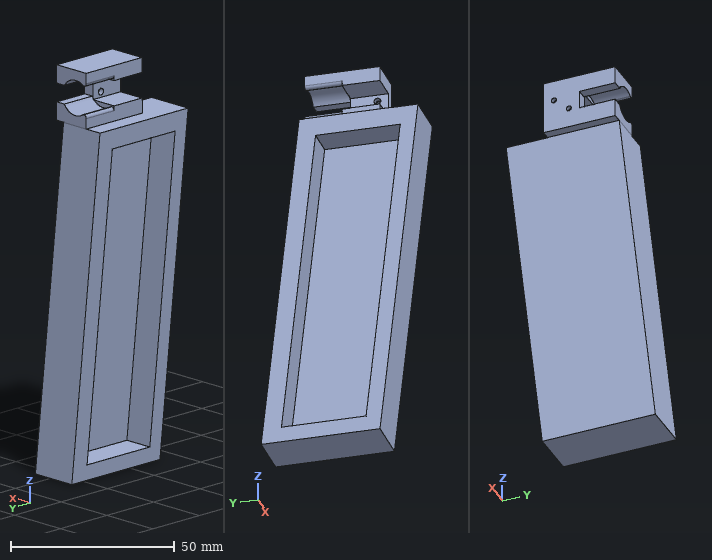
import cadquery as cq
import math

body_thickness = 16.0
body_width = 38.0
body_height = 110.0
overall_length = 50.12
lean = overall_length - body_width
pocket_depth = 10.0
pocket_wall_front = 5.0
pocket_wall_back = 6.0
pocket_wall_bottom = 5.0
pocket_wall_top = 6.2

overall_height = 127.84
overall_depth = 19.01
clip_depth = 13.0
clip_width = 24.1
clip_height = overall_height - body_height
clip_start_x = overall_depth - clip_depth
clip_center_z = body_height + clip_height / 2
slot_height = 8.1
slot_depth = 9.3

socket_length = 12.0
socket_radius = 5.65
mouth_half_throat = 4.54
mouth_lip_radius = 2.07 / 2
rear_half_opening = 2.95

hole_diameter = 1.62
counterbore_diameter = 2.07
counterbore_depth = (clip_depth - slot_depth) / 2
hole_edge_distance = 3.55
hole_spacing_y = 5.0
upper_hole_rise = 1.95
lower_hole_drop = 2.25

clip_front_y = -clip_width


def back_edge_y(z):
    """Y of the leaning +Y face of the body at height z."""
    return lean * (1 - z / body_height)


def leaning_slab(z_bottom, z_top, back_inset, width, thickness):
    """Parallelogram following the lean of the body, extruded from X = 0 toward +X."""
    bottom_y = back_edge_y(z_bottom) - back_inset
    top_y = back_edge_y(z_top) - back_inset
    outline = [
        (bottom_y, z_bottom),
        (top_y, z_top),
        (top_y - width, z_top),
        (bottom_y - width, z_bottom),
    ]
    return cq.Workplane("YZ").polyline(outline).close().extrude(thickness)


def make_body():
    slab = leaning_slab(0, body_height, 0, body_width, body_thickness)
    pocket_width = body_width - pocket_wall_front - pocket_wall_back
    pocket = leaning_slab(
        pocket_wall_bottom,
        body_height - pocket_wall_top,
        pocket_wall_back,
        pocket_width,
        pocket_depth,
    )
    return slab.cut(pocket)


def make_socket():
    """Round seat with rounded lips at the clip mouth and a flat opening through the back wall."""
    mouth_lip_z = mouth_half_throat + mouth_lip_radius
    lip_reach = math.sqrt((socket_radius + mouth_lip_radius) ** 2 - mouth_lip_z**2)
    tangent_share = socket_radius / (socket_radius + mouth_lip_radius)
    mouth_x = -lip_reach - mouth_lip_radius
    rear_x = mouth_x + clip_depth
    opening_x = math.sqrt(socket_radius**2 - rear_half_opening**2)
    upper_half = (
        cq.Workplane("XZ", origin=(clip_start_x - mouth_x, 0, clip_center_z))
        .moveTo(mouth_x, 0)
        .lineTo(mouth_x, mouth_lip_z)
        .threePointArc(
            (-lip_reach, mouth_half_throat),
            (-lip_reach * tangent_share, mouth_lip_z * tangent_share),
        )
        .threePointArc((0, socket_radius), (opening_x, rear_half_opening))
        .lineTo(rear_x, rear_half_opening)
        .lineTo(rear_x, 0)
        .close()
        .extrude(socket_length)
    )
    return upper_half.union(upper_half.mirror("XY", (0, 0, clip_center_z)))


def make_wall_holes():
    upper_y = clip_front_y + hole_edge_distance
    lower_y = upper_y + hole_spacing_y
    centers = [
        (upper_y, clip_center_z + upper_hole_rise),
        (lower_y, clip_center_z - lower_hole_drop),
    ]
    wall_face = cq.Workplane("YZ", origin=(clip_start_x + slot_depth, 0, 0)).pushPoints(centers)
    through = wall_face.circle(hole_diameter / 2).extrude(clip_depth - slot_depth)
    counterbore = wall_face.circle(counterbore_diameter / 2).extrude(counterbore_depth)
    return through.union(counterbore)


def make_clip():
    block = cq.Workplane("XY").box(clip_depth, clip_width, clip_height, centered=False)
    block = block.translate((clip_start_x, clip_front_y, body_height))
    slot = (
        cq.Workplane("XY")
        .box(slot_depth, clip_width - socket_length, slot_height, centered=(False, False, True))
        .translate((clip_start_x, clip_front_y, clip_center_z))
    )
    return block.cut(slot).cut(make_socket()).cut(make_wall_holes())


result = make_body().union(make_clip())